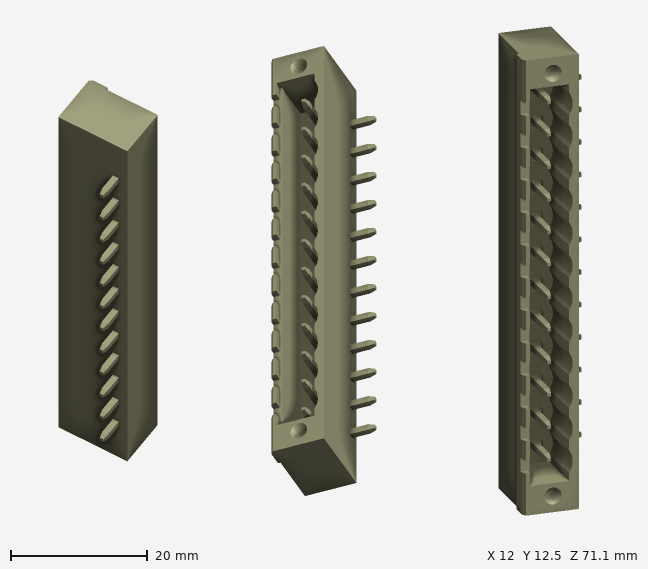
import cadquery as cq
import math


pole_count = 12
pitch = 5.08
flange_length = 1.5 * pitch
housing_length = (pole_count - 1) * pitch + 2 * flange_length
pole_heights = [flange_length + i * pitch for i in range(pole_count)]

housing_depth = 12.0
overall_height = 8.6
lip_rise = 0.4
lip_depth = 3.0
lip_bevel_depth = 0.65
housing_height = overall_height - lip_rise

pole_y = 4.0
scallop_radius = 3.05
crest_drop = 2.5
cavity_top_y = 7.15
cavity_depth = 8.0
lead_in_depth = 2.5
lead_in_slope = 5.0

step_rise = 0.43
step_depth = 1.3
notch_width = 2.1

pin_width = 1.0
pin_tail = 3.9
tail_x = 10.0
contact_tip_x = 1.6
tail_tip_inset = 0.2
tail_tip_length = 1.0
contact_tip_inset = 0.25
contact_tip_length = 1.25
pin_recess_diameter = 2.6
pin_recess_depth = 0.5

screw_hole_mouth = 2.65
thread_minor_diameter = 1.95
thread_major_diameter = 2.45
thread_turns = 12
screw_hole_inset = pitch / 2


def box(x_range, y_range, z_range):
    """Axis-aligned box given by its limits along each axis."""
    lows, highs = zip(x_range, y_range, z_range)
    sizes = [high - low for low, high in zip(lows, highs)]
    return cq.Workplane("XY").box(*sizes, centered=False).translate(lows)


def make_housing():
    """Extruded end profile: block with a bevelled lip on the mating edge."""
    profile = [
        (0, 0),
        (housing_depth, 0),
        (housing_depth, housing_height),
        (lip_depth, housing_height),
        (lip_depth, overall_height),
        (lip_bevel_depth, overall_height),
        (0, housing_height),
    ]
    return cq.Workplane("XY").polyline(profile).close().extrude(housing_length)


def cavity_section(x, inset):
    """Closed cavity outline at depth x, with its bottom and end walls moved in by inset."""
    radius = scallop_radius - inset
    crest_y = pole_y - crest_drop + inset
    half_chord = math.sqrt(radius**2 - (pole_y - crest_y) ** 2)
    z_start = pole_heights[0] - radius
    z_end = pole_heights[-1] + radius
    outline = cq.Workplane("YZ", origin=(x, 0, 0)).moveTo(cavity_top_y, z_start)
    outline = outline.lineTo(crest_y, z_start)
    for z in pole_heights:
        outline = outline.lineTo(crest_y, z - half_chord)
        outline = outline.threePointArc((pole_y - radius, z), (crest_y, z + half_chord))
    return outline.lineTo(crest_y, z_end).lineTo(cavity_top_y, z_end).close()


def make_cavity():
    """Tapered lead-in, straight inner part and the step at the mouth."""
    inset = lead_in_depth * math.tan(math.radians(lead_in_slope))
    mouth_wire = cavity_section(0, 0).wires().val()
    inner_wire = cavity_section(lead_in_depth, inset).wires().val()
    lead_in = cq.Workplane(cq.Solid.makeLoft([mouth_wire, inner_wire], True))
    inner = cavity_section(lead_in_depth, inset).extrude(cavity_depth - lead_in_depth)
    step = box(
        (0, step_depth),
        (cavity_top_y, cavity_top_y + step_rise),
        (pole_heights[0] - scallop_radius, pole_heights[-1] + scallop_radius),
    )
    return lead_in.union(inner).union(step)


def make_notch(z):
    """Keying notch through the top wall at one pole."""
    return box(
        (0, step_depth),
        (cavity_top_y, overall_height),
        (z - notch_width / 2, z + notch_width / 2),
    )


def make_pin_recess(z):
    """Shallow round recess around one pin in the cavity floor."""
    floor_point = (cavity_depth, pole_y, z)
    return cq.Workplane("YZ", origin=floor_point).circle(pin_recess_diameter / 2).extrude(pin_recess_depth)


def make_screw_hole(z):
    """Blind flange hole with a countersunk mouth and ring grooves as its thread."""
    mouth_radius = screw_hole_mouth / 2
    minor_radius = thread_minor_diameter / 2
    major_radius = thread_major_diameter / 2
    flank = major_radius - minor_radius
    x = mouth_radius - minor_radius
    profile = [(0, 0), (0, mouth_radius), (x, minor_radius)]
    for _ in range(thread_turns):
        profile += [(x + flank, major_radius), (x + 2 * flank, minor_radius)]
        x += 2 * flank
    profile.append((x, 0))
    axis_start, axis_end = (0, 0, 0), (1, 0, 0)
    hole = cq.Workplane("XY").polyline(profile).close().revolve(360, axis_start, axis_end)
    return hole.translate((0, pole_y, z))


def make_tip(plane, start, inset, length):
    """Square pin end on the given plane, narrowing along the plane normal."""
    slope = math.degrees(math.atan(inset / length))
    return cq.Workplane(plane, origin=start).rect(pin_width, pin_width).extrude(length, taper=slope)


def make_pin(z):
    """Square L-shaped pin: contact along X, solder tail along -Y."""
    half = pin_width / 2
    contact_start = contact_tip_x + contact_tip_length
    tail_start = tail_tip_length - pin_tail
    z_range = (z - half, z + half)
    contact = box((contact_start, tail_x + half), (pole_y - half, pole_y + half), z_range)
    tail = box((tail_x - half, tail_x + half), (tail_start, pole_y + half), z_range)
    contact_tip = make_tip("ZY", (contact_start, pole_y, z), contact_tip_inset, contact_tip_length)
    tail_tip = make_tip("XZ", (tail_x, tail_start, z), tail_tip_inset, tail_tip_length)
    return contact.union(tail).union(contact_tip).union(tail_tip)


result = make_housing().cut(make_cavity())
for pole_z in pole_heights:
    result = result.cut(make_notch(pole_z)).cut(make_pin_recess(pole_z))
for hole_z in (screw_hole_inset, housing_length - screw_hole_inset):
    result = result.cut(make_screw_hole(hole_z))
for pole_z in pole_heights:
    result = result.union(make_pin(pole_z))